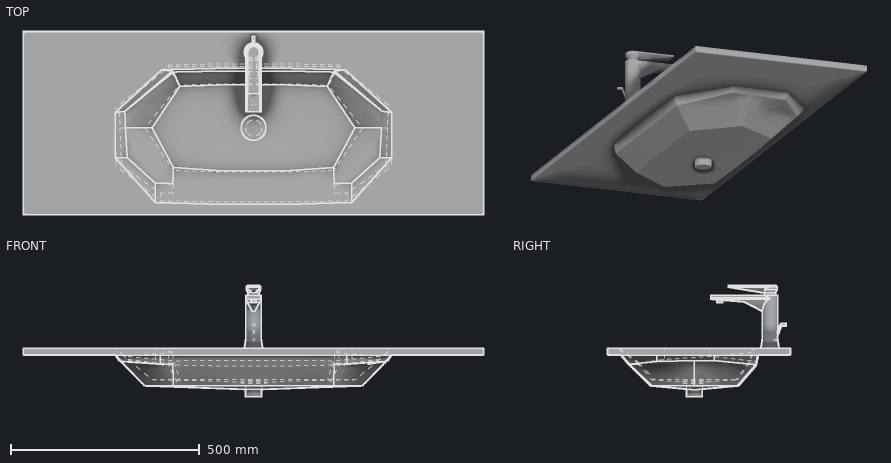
import cadquery as cq

SLAB_LENGTH = 1220.0
SLAB_DEPTH = 485.0
SLAB_THICKNESS = 18.0
SLAB_EDGE_RADIUS = 4.0

DRAIN_Y = -12.0
DRAIN_BOTTOM = -129.0
TAIL_RADIUS = 21.4
FLANGE_RADIUS = 33.0
FLANGE_BOTTOM = -93.0
FLANGE_TOP = -87.0
STOPPER_RADIUS = 30.0
STOPPER_RISE = 4.0

FLAT_HALF = 90.0
FRONT_SEAM_X = 214.0
CAVITY_CORNER_X = 260.0
CAVITY_RIM_FRONT = -210.0
CAVITY_CREASE_FRONT = -159.0
CAVITY_CREASE_Z = -39.0
CAVITY_FRONT_BOW = 5.0
CAVITY_SEAM_BOW = CAVITY_FRONT_BOW * (CAVITY_CORNER_X - FRONT_SEAM_X) / (CAVITY_CORNER_X - FLAT_HALF)
CAVITY_FLOOR_Z = -83.0
CAVITY_SIDE = (268.0, DRAIN_Y, CAVITY_FLOOR_Z)
CAVITY_FRONT_CORNER = (212.0, -117.0, CAVITY_FLOOR_Z)
CAVITY_RIM = [
    (FLAT_HALF, 145.0, 0),
    (243.0, 142.0, 0),
    (366.0, 28.0, 0),
    (366.0, -32.0, 0),
    (366.0, -92.0, 0),
    (CAVITY_CORNER_X, CAVITY_RIM_FRONT, 0),
    (FRONT_SEAM_X, CAVITY_RIM_FRONT - CAVITY_SEAM_BOW, 0),
    (FLAT_HALF, CAVITY_RIM_FRONT - CAVITY_FRONT_BOW, 0),
]
CAVITY_CREASE = [
    (FLAT_HALF, 138.0, -32.0),
    (212.0, 135.0, -33.0),
    (340.0, 32.0, -21.0),
    (339.0, DRAIN_Y, -25.0),
    (334.0, -92.0, -29.0),
    (CAVITY_CORNER_X, CAVITY_CREASE_FRONT, CAVITY_CREASE_Z),
    (FRONT_SEAM_X, CAVITY_CREASE_FRONT - CAVITY_SEAM_BOW, CAVITY_CREASE_Z),
    (FLAT_HALF, CAVITY_CREASE_FRONT - CAVITY_FRONT_BOW, CAVITY_CREASE_Z),
]
CAVITY_LIP = [
    (FLAT_HALF, 140.0, -11.0),
    (215.0, 138.0, -11.0),
    *CAVITY_CREASE[2:],
]
CAVITY_FLOOR = [
    (FLAT_HALF, 101.0, CAVITY_FLOOR_Z),
    (195.0, 98.0, CAVITY_FLOOR_Z),
    CAVITY_SIDE,
    CAVITY_SIDE,
    CAVITY_SIDE,
    CAVITY_FRONT_CORNER,
    CAVITY_FRONT_CORNER,
    (FLAT_HALF, -126.0, CAVITY_FLOOR_Z),
]
CAVITY_CENTRE = (0, DRAIN_Y, -90.0)

SHELL_FLOOR_Z = -100.0
SHELL_SIDE = (288.0, DRAIN_Y, SHELL_FLOOR_Z)
SHELL_FRONT_CORNER = (212.0, -125.0, SHELL_FLOOR_Z)
SHELL_RIM_FRONT = -205.0
SHELL_CREASE_FRONT = -184.0
SHELL_CREASE_Z = -43.0
SHELL_CORNER_X = 246.0
SHELL_FRONT_BOW = 2.0
SHELL_SEAM_BOW = SHELL_FRONT_BOW * (SHELL_CORNER_X - FRONT_SEAM_X) / (SHELL_CORNER_X - FLAT_HALF)
SHELL_RIM = [
    (FLAT_HALF, 157.0, -SLAB_THICKNESS),
    (226.0, 155.0, -SLAB_THICKNESS),
    (366.0, 40.0, -SLAB_THICKNESS),
    (366.0, DRAIN_Y, -SLAB_THICKNESS),
    (365.0, -112.0, -SLAB_THICKNESS),
    (SHELL_CORNER_X, SHELL_RIM_FRONT, -SLAB_THICKNESS),
    (FRONT_SEAM_X, SHELL_RIM_FRONT - SHELL_SEAM_BOW, -SLAB_THICKNESS),
    (FLAT_HALF, SHELL_RIM_FRONT - SHELL_FRONT_BOW, -SLAB_THICKNESS),
]
SHELL_CREASE = [
    (FLAT_HALF, 151.0, -46.0),
    (226.0, 150.0, -44.0),
    (356.0, 40.0, -33.0),
    (354.0, DRAIN_Y, -33.0),
    (350.0, -112.0, -35.0),
    (SHELL_CORNER_X, SHELL_CREASE_FRONT, SHELL_CREASE_Z),
    (FRONT_SEAM_X, SHELL_CREASE_FRONT - SHELL_SEAM_BOW, SHELL_CREASE_Z),
    (FLAT_HALF, SHELL_CREASE_FRONT - SHELL_FRONT_BOW, SHELL_CREASE_Z),
]
SHELL_FLOOR = [
    (FLAT_HALF, 105.0, SHELL_FLOOR_Z),
    (198.0, 101.0, SHELL_FLOOR_Z),
    SHELL_SIDE,
    SHELL_SIDE,
    SHELL_SIDE,
    SHELL_FRONT_CORNER,
    SHELL_FRONT_CORNER,
    (FLAT_HALF, -128.0, SHELL_FLOOR_Z),
]
SHELL_CENTRE = (0, DRAIN_Y, -110.0)

UPPER_PANELS = [(0, 1), (1, 2), (2, 3), (3, 4), (4, 5), (5, 7)]
LIP_PANELS = [(0, 1), (1, 2)]
LOWER_PANELS = [(0, 1), (1, 3), (3, 6), (6, 7)]

TOP_BEVEL = 4.0

COLUMN_Y = 188.0
COLUMN_RADIUS = 21.0
BASE_RADIUS = 25.0
BASE_HEIGHT = 25.0
COLUMN_TOP = 140.0
SPOUT_TIP_Y = 30.0
SPOUT_BOTTOM = 129.0
SPOUT_BEVEL_HEIGHT = 7.0
GUSSET_FOOT_Z = 98.0
GUSSET_KNEE_Y = 120.0
GUSSET_KNEE_Z = 122.0
GUSSET_FOOT_WIDTH = 7.0
AERATOR_Y = 55.0
AERATOR_RADIUS = 7.0
AERATOR_BOTTOM = 121.0

LEVER_TOP = 166.0
LEVER_TIP_Y = 78.0
LEVER_TIP_THICKNESS = 5.0
LEVER_WIDTH = 39.0
LEVER_FOOT_WIDTH = 10.0
LEVER_HEAD_BOTTOM = 155.0
LEVER_NECK_TOP = 146.0
LEVER_NECK_RADIUS = 15.0

ROD_RADIUS = 2.0
KNOB_RADIUS = 4.0
KNOB_END_Y = 230.0
ROD_BEND_Y = 217.0
ROD_TOP_Z = 62.0
ROD_FOOT_Y = 201.0
ROD_FOOT_Z = 21.0


def full_ring(half):
    """Close a right-half ring of corners with its mirror image."""
    return half + [(-x, y, z) for x, y, z in reversed(half)]


def polygon_edges(corners):
    """Straight edges round a closed chain of corners, skipping corners that coincide."""
    pairs = zip(corners, corners[1:] + corners[:1])
    return [cq.Edge.makeLine(cq.Vector(*a), cq.Vector(*b)) for a, b in pairs if a != b]


def flat_face(edges):
    return cq.Face.makeFromWires(cq.Wire.assembleEdges(edges))


def panel(upper_run, lower_run):
    """Smooth wall panel between a run of upper corners and the run of lower corners below it."""
    edges = polygon_edges(upper_run + lower_run[::-1])
    if len(edges) == 3:
        return flat_face(edges)
    if len(upper_run) == 2 and len(edges) == 4:
        return cq.Face.makeRuledSurface(edges[0], polygon_edges(lower_run)[0])
    return cq.Face.makeNSidedSurface(edges, [])


def wall(upper_half, lower_half, half_spans):
    """Panels between two rings: the right half, its mirror image and the two middle panels."""
    upper = full_ring(upper_half)
    lower = full_ring(lower_half)
    middle = len(upper_half)
    end = len(upper)
    mirrored_spans = [(end - 1 - last, end - 1 - first) for first, last in half_spans]
    spans = half_spans + mirrored_spans + [(middle - 1, middle), (end - 1, end)]
    upper.append(upper[0])
    lower.append(lower[0])
    runs = [(upper[first : last + 1], lower[first : last + 1]) for first, last in spans]
    return [panel(*run) for run in runs if run[0] != run[1]]


def bowl(rim, walls, floor, floor_centre):
    """Solid bowl: flat top, walls, and a smooth floor dished down to its centre."""
    top = flat_face(polygon_edges(full_ring(rim)))
    bottom = cq.Face.makeNSidedSurface(polygon_edges(full_ring(floor)), [cq.Vector(*floor_centre)])
    return cq.Workplane(obj=cq.Solid.makeSolid(cq.Shell.makeShell([top, *walls, bottom])))


def make_shell():
    """Outer form of the basin below the slab."""
    walls = wall(SHELL_RIM, SHELL_CREASE, UPPER_PANELS)
    walls += wall(SHELL_CREASE, SHELL_FLOOR, LOWER_PANELS)
    return bowl(SHELL_RIM, walls, SHELL_FLOOR, SHELL_CENTRE)


def make_cavity():
    """Inside of the basin."""
    walls = wall(CAVITY_RIM, CAVITY_LIP, UPPER_PANELS)
    walls += wall(CAVITY_LIP, CAVITY_CREASE, LIP_PANELS)
    walls += wall(CAVITY_CREASE, CAVITY_FLOOR, LOWER_PANELS)
    return bowl(CAVITY_RIM, walls, CAVITY_FLOOR, CAVITY_CENTRE)


def cylinder(y, radius, bottom, top):
    """Upright cylinder on the plane X = 0."""
    return cq.Workplane().workplane(offset=bottom).center(0, y).circle(radius).extrude(top - bottom)


def make_drain():
    tail = cylinder(DRAIN_Y, TAIL_RADIUS, DRAIN_BOTTOM, FLANGE_BOTTOM)
    flange = cylinder(DRAIN_Y, FLANGE_RADIUS, FLANGE_BOTTOM, FLANGE_TOP)
    stopper = (
        cq.Workplane("XZ", origin=(0, DRAIN_Y, FLANGE_TOP))
        .lineTo(STOPPER_RADIUS, 0)
        .lineTo(0, STOPPER_RISE)
        .close()
        .revolve(360, (0, 0), (0, 1))
    )
    return tail.union(flange).union(stopper)


def make_washbasin(drain):
    slab = cq.Workplane().box(SLAB_LENGTH, SLAB_DEPTH, SLAB_THICKNESS, centered=(True, True, False))
    slab = slab.translate((0, 0, -SLAB_THICKNESS)).faces("<Z or >Z").edges().fillet(SLAB_EDGE_RADIUS)
    return slab.union(make_shell()).cut(make_cavity()).cut(drain)


def make_pull_rod():
    knob = cq.Workplane("XZ", origin=(0, KNOB_END_Y, ROD_TOP_Z)).circle(KNOB_RADIUS)
    knob = knob.extrude(KNOB_END_Y - ROD_BEND_Y)
    bend = cq.Vector(0, ROD_BEND_Y, ROD_TOP_Z)
    stem = cq.Vector(0, ROD_FOOT_Y, ROD_FOOT_Z) - bend
    return knob.union(cq.Workplane(obj=cq.Solid.makeCylinder(ROD_RADIUS, stem.Length, bend, stem)))


def bar(tip_y, bottom, top, width, bevel_height):
    """Flat bar from the column axis to a tip, bevelled along its two top edges."""
    return (
        cq.Workplane("XZ", origin=(0, COLUMN_Y, 0))
        .moveTo(-width / 2, bottom)
        .lineTo(width / 2, bottom)
        .lineTo(width / 2, top - bevel_height)
        .lineTo(width / 2 - TOP_BEVEL, top)
        .lineTo(TOP_BEVEL - width / 2, top)
        .lineTo(-width / 2, top - bevel_height)
        .close()
        .extrude(COLUMN_Y - tip_y)
    )


def gusset(points, width, foot_width):
    """Web under a bar, outlined in Y and Z, with flanks that lean inwards towards its foot."""
    top = max(z for _, z in points)
    foot = min(z for _, z in points)
    length = COLUMN_Y - min(y for y, _ in points)
    web = cq.Workplane("YZ").polyline(points).close().extrude(width / 2, both=True)
    flanks = (
        cq.Workplane("XZ", origin=(0, COLUMN_Y, 0))
        .moveTo(-width / 2, top)
        .lineTo(width / 2, top)
        .lineTo(foot_width / 2, foot)
        .lineTo(-foot_width / 2, foot)
        .close()
        .extrude(length)
    )
    return web.intersect(flanks)


def make_faucet(pull_rod):
    width = 2 * COLUMN_RADIUS
    column = cylinder(COLUMN_Y, COLUMN_RADIUS, 0, COLUMN_TOP)
    base = cq.Workplane(
        obj=cq.Solid.makeCone(BASE_RADIUS, COLUMN_RADIUS, BASE_HEIGHT, cq.Vector(0, COLUMN_Y, 0))
    )
    spout = bar(SPOUT_TIP_Y, SPOUT_BOTTOM, COLUMN_TOP, width, SPOUT_BEVEL_HEIGHT)
    web = gusset(
        [
            (COLUMN_Y, SPOUT_BOTTOM),
            (SPOUT_TIP_Y, SPOUT_BOTTOM),
            (GUSSET_KNEE_Y, GUSSET_KNEE_Z),
            (COLUMN_Y - COLUMN_RADIUS, GUSSET_FOOT_Z),
            (COLUMN_Y, GUSSET_FOOT_Z),
        ],
        width,
        GUSSET_FOOT_WIDTH,
    )
    aerator = cylinder(AERATOR_Y, AERATOR_RADIUS, AERATOR_BOTTOM, SPOUT_BOTTOM)
    return column.union(base).union(spout).union(web).union(aerator).cut(pull_rod)


def make_lever():
    head_radius = LEVER_WIDTH / 2
    blade_bottom = LEVER_TOP - LEVER_TIP_THICKNESS
    head = (
        cq.Workplane("XZ", origin=(0, COLUMN_Y, 0))
        .moveTo(0, COLUMN_TOP)
        .lineTo(LEVER_NECK_RADIUS, COLUMN_TOP)
        .lineTo(LEVER_NECK_RADIUS, LEVER_NECK_TOP)
        .lineTo(head_radius, LEVER_HEAD_BOTTOM)
        .lineTo(head_radius, LEVER_TOP)
        .lineTo(0, LEVER_TOP)
        .close()
        .revolve(360, (0, 0), (0, 1))
        .faces(">Z")
        .edges()
        .chamfer(TOP_BEVEL)
    )
    blade = bar(LEVER_TIP_Y, blade_bottom, LEVER_TOP, LEVER_WIDTH, TOP_BEVEL)
    web = gusset(
        [
            (COLUMN_Y, blade_bottom),
            (LEVER_TIP_Y, blade_bottom),
            (COLUMN_Y - head_radius, LEVER_NECK_TOP),
            (COLUMN_Y, LEVER_NECK_TOP),
        ],
        LEVER_WIDTH,
        LEVER_FOOT_WIDTH,
    )
    return head.union(blade).union(web)


drain = make_drain()
washbasin = make_washbasin(drain)
pull_rod = make_pull_rod()
faucet = make_faucet(pull_rod)
lever = make_lever()

result = cq.Compound.makeCompound(
    [washbasin.val(), drain.val(), faucet.val(), lever.val(), pull_rod.val()]
)